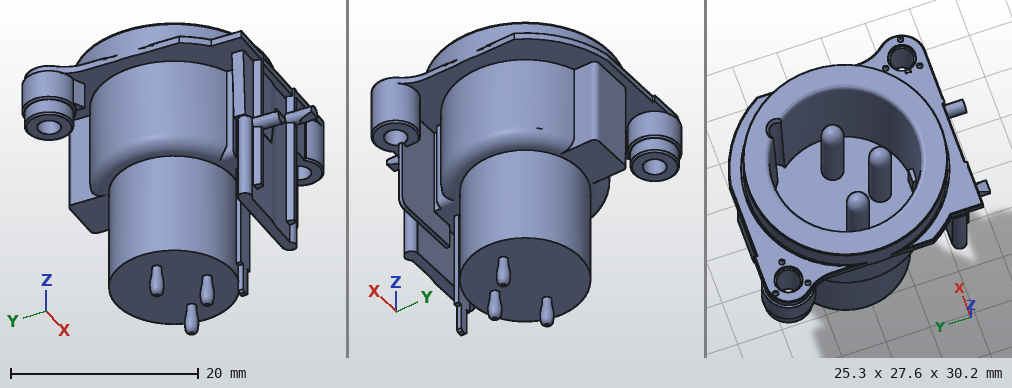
import cadquery as cq
import math


RING_TOP = 2.72
FLANGE_T = 0.93
CUP_BOTTOM = -11.8
TUBE_BOTTOM = -24.0
TAIL_BOTTOM = -27.48
OVERLAP = 0.5

RING_R = 10.9
CUP_R = 9.0
CUP_FILLET = 1.6
TUBE_R = 6.97
GROOVE_R = 11.12
GROOVE_DEPTH = 0.2
RING_EDGE_HEIGHT = 0.2
RING_EDGE_INSET = 0.08

MOUTH_R = 8.1
FLOOR_R = 7.6
MOUTH_FILLET = 0.5
FLOOR_Z = -10.3
CHANNEL_R = 0.94
CHANNEL_MOUTH_R = 1.25
CHANNEL_AXIS_R = 7.95
KEY_X = (-1.22, 0.26)
KEY_INNER_Y = -7.2
KEY_TOP = -7.3

PIN_X = 4.05
PIN_Y = -3.95
PIN_POINTS = [(-PIN_X, 0), (PIN_X, 0), (0, PIN_Y)]
PIN_R = 1.2
PIN_TIP = 0.95
TAIL_NECK_R = 0.53
TAIL_R = 0.74
TAIL_END_R = 0.66
TAIL_TIP_R = 0.2
NECK_END = TUBE_BOTTOM - 0.6
BULB_TOP = TUBE_BOTTOM - 1.9
BULB_END = TUBE_BOTTOM - 2.4
TAIL_ROUND = 0.45

SIDE_X = 10.82
CORNER_R = 12.45
BACK_Y = 12.25
EAR_LAND_X = -6.2
NOTCH_X = -8.72
FLARE_Y = 5.3
FRONT_RECESS = 0.2
FLANGE_EDGE = 0.12

EAR = 9.91
EAR_R = 2.61
FRONT_Y = -(EAR + EAR_R)
EAR_SLEEVE_R = 2.88
EAR_SLEEVE_BOTTOM = -4.45
EAR_BOTTOM = -6.27
EAR_EDGE = 0.2
EAR_INNER_X = 8.0
WEB_X = -8.5
WEB_Y = 6.35
WEB_BOTTOM = -4.0
EAR_FILLER_FRONT = -11.5
HOLE_R = 1.28
RECESS_R = 1.5
RECESS_DEPTH = 0.5
RECESS_NOTCH_X = (8.1, 8.8)
RECESS_NOTCH_Y = (-10.3, -9.75)
BUMP_R = 0.3
BUMP_TOP_R = 0.05
BUMP_H = 0.25
BUMP_CIRCLE_R = 2.1
BUMP_TURN = -15

PLATE_FRONT = -11.66
PLATE_FRONT_RIGHT = -11.5
PLATE_RAMP_X = (0, 1.3)
BLOCK_STEP = 0.06
PLATE_BACK = -10.3
PLATE_BOTTOM = -18.95
ROD_R = 0.78
ROD_Y = -11.12
ROD_LEFT_X = -5.12
ROD_RIGHT_X = 5.27
PEG_LEFT = (-3.8, -8.92)
PEG_RIGHT = (3.85, -3.7)
PEG_R = 0.74
PEG_TIP_Y = -14.81
PEG_TAPER_Y = -13.1
PEG_TIP_CUT = 0.45
RIB_BOTTOM = -17.0
RIB_BASE = 0.9
RIB_FACE = 0.45
BLOCK_TOP_LEFT_X = -6.5
BLOCK_LEFT_X = -6.05
BLOCK_TOP_RIGHT_X = 6.75
BLOCK_RIGHT_X = 6.08
BRIDGE_X = 3.7
BRIDGE_FILLET = 0.8
BRIDGE_STEP_X = BRIDGE_X - BRIDGE_FILLET
BRIDGE_STEP_Y = -8.94
SIDE_PANEL_X = 8.85
SIDE_PANEL_FRONT = -10.26
SIDE_PANEL_BACK = -9.8
SIDE_PANEL_BOTTOM = -14.7
SIDE_PANEL_CORNER = 1.0

BACK_WALL_X = 3.0
BACK_WALL_Y = 11.27
BACK_WALL_FILLET = 0.65

TAB_FRONT = -8.52
TAB_BACK = -7.95
TAB_HALF = 1.03
TAB_TIP_HALF = 0.52
TAB_TIP_CHAMFER = 0.25


def box(x, y, z):
    """Box between the given pairs of X, Y and Z limits."""
    block = cq.Workplane("XY").box(x[1] - x[0], y[1] - y[0], z[1] - z[0], centered=False)
    return block.translate((x[0], y[0], z[0]))


def rod(x, y, radius, bottom, top):
    """Upright cylinder."""
    return cq.Workplane("XY", origin=(x, y, bottom)).circle(radius).extrude(top - bottom)


def on_circle(radius, x):
    """Positive Y of the point at x on a circle about the shell axis."""
    return math.sqrt(radius**2 - x**2)


def flange():
    corner_y = on_circle(CORNER_R, SIDE_X)
    arc_x = on_circle(CORNER_R, BACK_Y)
    mid = CORNER_R * math.sqrt(0.5)
    notch_y = -on_circle(CORNER_R, NOTCH_X)
    notch_mid_x = (NOTCH_X - SIDE_X) / 2
    notch_mid = (notch_mid_x, -on_circle(CORNER_R, notch_mid_x))
    reach = EAR - FLARE_Y
    inset = SIDE_X - EAR
    flare_r = (inset**2 + reach**2 - EAR_R**2) / (2 * (EAR_R - inset))
    turn = math.atan2(reach, inset + flare_r)
    ear_join = (EAR + EAR_R * math.cos(turn), EAR - EAR_R * math.sin(turn))
    flare_mid = (SIDE_X + flare_r * (1 - math.cos(turn / 2)), FLARE_Y + flare_r * math.sin(turn / 2))
    ear_tip = EAR + EAR_R * math.sqrt(0.5)
    outline = (
        cq.Workplane("XY")
        .moveTo(-EAR, EAR + EAR_R)
        .lineTo(EAR_LAND_X, EAR + EAR_R)
        .lineTo(EAR_LAND_X, BACK_Y)
        .lineTo(arc_x, BACK_Y)
        .threePointArc((mid, mid), (SIDE_X, corner_y))
        .lineTo(SIDE_X, -FLARE_Y)
        .threePointArc((flare_mid[0], -flare_mid[1]), (ear_join[0], -ear_join[1]))
        .threePointArc((ear_tip, -ear_tip), (EAR, FRONT_Y))
        .lineTo(PEG_RIGHT[0], FRONT_Y)
        .lineTo(PEG_RIGHT[0], FRONT_Y + FRONT_RECESS)
        .lineTo(PEG_LEFT[0], FRONT_Y + FRONT_RECESS)
        .lineTo(PEG_LEFT[0], FRONT_Y)
        .lineTo(NOTCH_X, FRONT_Y)
        .lineTo(NOTCH_X, notch_y)
        .threePointArc(notch_mid, (-SIDE_X, -corner_y))
        .lineTo(-SIDE_X, FLARE_Y)
        .threePointArc((-flare_mid[0], flare_mid[1]), (-ear_join[0], ear_join[1]))
        .threePointArc((-ear_tip, ear_tip), (-EAR, EAR + EAR_R))
        .close()
    )
    plate = outline.extrude(-FLANGE_T).faces(">Z").edges().chamfer(FLANGE_EDGE)
    groove = rod(0, 0, GROOVE_R, -GROOVE_DEPTH, 0)
    return plate.cut(groove)


def shell():
    ring = rod(0, 0, RING_R, -FLANGE_T, RING_TOP)
    ring = ring.faces(">Z").edges().chamfer(RING_EDGE_HEIGHT, RING_EDGE_INSET)
    cup = rod(0, 0, CUP_R, CUP_BOTTOM, -FLANGE_T).faces("<Z").edges().fillet(CUP_FILLET)
    tube = rod(0, 0, TUBE_R, TUBE_BOTTOM, CUP_BOTTOM + CUP_FILLET)
    return ring.union(cup).union(tube)


def cavity():
    cone = (
        cq.Workplane("XZ")
        .moveTo(0, FLOOR_Z)
        .lineTo(FLOOR_R, FLOOR_Z)
        .lineTo(MOUTH_R, RING_TOP - MOUTH_FILLET)
        .radiusArc((MOUTH_R + MOUTH_FILLET, RING_TOP), MOUTH_FILLET)
        .lineTo(0, RING_TOP)
        .close()
        .revolve(360, (0, 0, 0), (0, 1, 0))
    )
    at = CHANNEL_AXIS_R * math.sqrt(0.5)
    channel = rod(at, at, CHANNEL_R, FLOOR_Z, RING_TOP)
    flare = cq.Solid.makeCone(CHANNEL_R, CHANNEL_MOUTH_R, MOUTH_FILLET)
    flare = cq.Workplane(flare).translate((at, at, RING_TOP - MOUTH_FILLET))
    return cone.union(channel).union(flare)


def contact(x, y):
    """Mating pin with a ball tip, and its solder tail below the tube."""
    pin = rod(x, y, PIN_R, FLOOR_Z - OVERLAP, PIN_TIP - PIN_R)
    tip = cq.Workplane("XY").sphere(PIN_R).translate((x, y, PIN_TIP - PIN_R))
    tail = (
        cq.Workplane("XZ")
        .moveTo(0, TUBE_BOTTOM + OVERLAP)
        .lineTo(TAIL_NECK_R, TUBE_BOTTOM + OVERLAP)
        .lineTo(TAIL_NECK_R, NECK_END)
        .lineTo(TAIL_R, BULB_TOP)
        .lineTo(TAIL_R, BULB_END)
        .lineTo(TAIL_END_R, TAIL_BOTTOM + TAIL_ROUND)
        .radiusArc((TAIL_TIP_R, TAIL_BOTTOM), TAIL_END_R)
        .lineTo(0, TAIL_BOTTOM)
        .close()
        .revolve(360, (0, 0, 0), (0, 1, 0))
        .translate((x, y, 0))
    )
    return pin.union(tip).union(tail)


def ears():
    left = rod(-EAR, EAR, EAR_R, EAR_BOTTOM, -FLANGE_T).faces("<Z").edges().chamfer(EAR_EDGE)
    sleeve = rod(-EAR, EAR, EAR_SLEEVE_R, EAR_SLEEVE_BOTTOM, -FLANGE_T).faces("<Z").edges().chamfer(EAR_EDGE)
    web = (
        cq.Workplane("XY", origin=(0, 0, WEB_BOTTOM))
        .polyline([(-EAR, EAR - EAR_SLEEVE_R), (WEB_X, WEB_Y), (WEB_X, EAR - EAR_R), (-EAR, EAR)])
        .close()
        .extrude(-FLANGE_T - WEB_BOTTOM)
    )
    right = rod(EAR, -EAR, EAR_R, EAR_BOTTOM, -FLANGE_T).faces("<Z").edges().chamfer(EAR_EDGE)
    right = right.intersect(box((EAR_INNER_X, EAR + EAR_R), (FRONT_Y, 0), (EAR_BOTTOM, 0)))
    filler = box((BLOCK_RIGHT_X, EAR_INNER_X), (EAR_FILLER_FRONT, SIDE_PANEL_BACK), (EAR_BOTTOM, -FLANGE_T))
    return left.union(sleeve).union(web).union(right).union(filler)


def ear_holes():
    holes = rod(-EAR, EAR, HOLE_R, EAR_BOTTOM, 0).union(rod(EAR, -EAR, HOLE_R, EAR_BOTTOM, 0))
    for side in (-1, 1):
        holes = holes.union(rod(side * EAR, -side * EAR, RECESS_R, -RECESS_DEPTH, 0))
    notch = box(RECESS_NOTCH_X, RECESS_NOTCH_Y, (-RECESS_DEPTH, 0))
    return holes.union(notch)


def bumps():
    """Three small cones round each ear hole."""
    cone = cq.Solid.makeCone(BUMP_R, BUMP_TOP_R, BUMP_H)
    cones = cq.Workplane("XY")
    for x, y, first in ((-EAR, EAR, 0), (EAR, -EAR, BUMP_TURN)):
        for turn in (0, 120, 240):
            angle = math.radians(first + turn)
            spot = (x + BUMP_CIRCLE_R * math.cos(angle), y + BUMP_CIRCLE_R * math.sin(angle), 0)
            cones = cones.union(cq.Workplane(cone.moved(cq.Location(cq.Vector(*spot)))))
    return cones


def plate_stock(left, right, bottom):
    """Slab whose front face ramps back from its left half to its right half."""
    return (
        cq.Workplane("XY", origin=(0, 0, bottom))
        .polyline([
            (left, PLATE_BACK), (left, PLATE_FRONT), (PLATE_RAMP_X[0], PLATE_FRONT),
            (PLATE_RAMP_X[1], PLATE_FRONT_RIGHT), (right, PLATE_FRONT_RIGHT), (right, PLATE_BACK),
        ])
        .close()
        .extrude(-FLANGE_T - bottom)
    )


def front_plate():
    left_z = PEG_LEFT[1]
    right_z = PEG_RIGHT[1]
    block_face = (
        cq.Workplane("XZ")
        .polyline([
            (BLOCK_TOP_LEFT_X, -FLANGE_T), (BLOCK_LEFT_X, left_z), (PLATE_RAMP_X[0], left_z),
            (PLATE_RAMP_X[1], right_z), (BLOCK_RIGHT_X, right_z), (BLOCK_TOP_RIGHT_X, -FLANGE_T),
        ])
        .close()
        .extrude(-FRONT_Y)
    )
    block = plate_stock(BLOCK_TOP_LEFT_X, BLOCK_TOP_RIGHT_X, left_z).translate((0, BLOCK_STEP, 0))
    block = block.intersect(block_face)
    plate = plate_stock(ROD_LEFT_X, ROD_RIGHT_X, PLATE_BOTTOM).cut(block_face)
    bridge = box((-BRIDGE_X, BRIDGE_X), (BRIDGE_STEP_Y, 0), (CUP_BOTTOM, -FLANGE_T))
    bridge = bridge.edges("|Y and <Z").fillet(BRIDGE_FILLET)
    bridge = bridge.union(box((-BRIDGE_STEP_X, BRIDGE_STEP_X), (PLATE_BACK, 0), (CUP_BOTTOM, -FLANGE_T)))
    panel = box((0, SIDE_PANEL_X), (SIDE_PANEL_FRONT, SIDE_PANEL_BACK), (SIDE_PANEL_BOTTOM, -FLANGE_T))
    panel = panel.edges("|Y and >X and <Z").fillet(SIDE_PANEL_CORNER)
    return (
        plate.union(block).union(bridge).union(panel)
        .union(rod(ROD_LEFT_X, ROD_Y, ROD_R, PLATE_BOTTOM, left_z))
        .union(rod(ROD_RIGHT_X, ROD_Y, ROD_R, PLATE_BOTTOM, right_z))
    )


def rib(x):
    """Upright rib with sloping sides on the front plate."""
    return (
        cq.Workplane("XY", origin=(x, 0, RIB_BOTTOM))
        .polyline([
            (-RIB_BASE / 2, PLATE_FRONT), (-RIB_FACE / 2, FRONT_Y),
            (RIB_FACE / 2, FRONT_Y), (RIB_BASE / 2, PLATE_FRONT),
        ])
        .close()
        .extrude(-RIB_BOTTOM)
    )


def peg(x, z, tapered_side):
    """Forward peg whose tip slopes on its upper (1) or lower (-1) side."""
    round_peg = cq.Workplane("XZ", origin=(x, PLATE_FRONT, z)).circle(PEG_R).extrude(PLATE_FRONT - PEG_TIP_Y)
    edge = z + tapered_side * PEG_R
    slope = (
        cq.Workplane("YZ", origin=(x, 0, 0))
        .polyline([(PEG_TAPER_Y, edge), (PEG_TIP_Y, edge), (PEG_TIP_Y, edge - tapered_side * PEG_TIP_CUT)])
        .close()
        .extrude(PEG_R, both=True)
    )
    return round_peg.cut(slope)


def ground_tab():
    wide = box((-TAB_HALF, TAB_HALF), (TAB_FRONT, TAB_BACK), (TUBE_BOTTOM, CUP_BOTTOM + CUP_FILLET))
    tip = box((-TAB_TIP_HALF, TAB_TIP_HALF), (TAB_FRONT, TAB_BACK), (TAIL_BOTTOM, TUBE_BOTTOM))
    return wide.union(tip.edges("|Y and <Z").chamfer(TAB_TIP_CHAMFER))


def back_wall():
    wall = box((-BACK_WALL_X, BACK_WALL_X), (0, BACK_WALL_Y), (CUP_BOTTOM, -FLANGE_T))
    return wall.edges("|Z and >Y").fillet(BACK_WALL_FILLET)


def socket_key():
    """Small key on the socket wall, standing on the floor."""
    return box(KEY_X, (-MOUTH_R - OVERLAP / 2, KEY_INNER_Y), (FLOOR_Z - OVERLAP, KEY_TOP))


body = flange().union(shell()).union(ears()).union(front_plate()).union(back_wall())
body = body.cut(cavity()).cut(ear_holes())
body = body.union(socket_key()).union(bumps()).union(ground_tab())
for pin_x, pin_y in PIN_POINTS:
    body = body.union(contact(pin_x, pin_y))
for (peg_x, peg_z), slope_side in ((PEG_LEFT, 1), (PEG_RIGHT, -1)):
    body = body.union(rib(peg_x)).union(peg(peg_x, peg_z, slope_side))

result = body